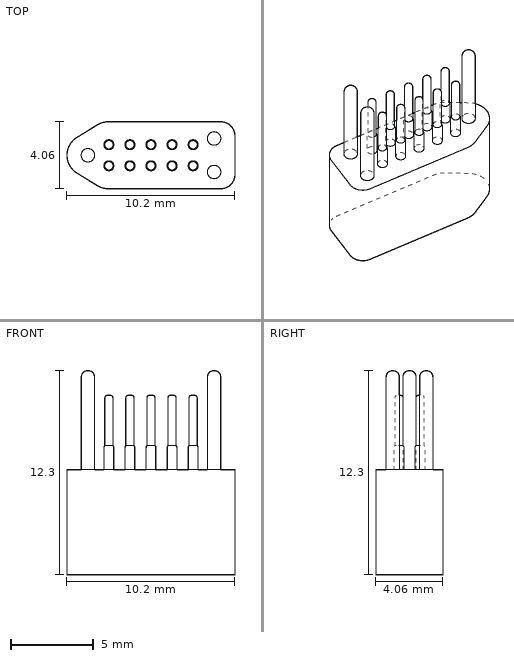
import cadquery as cq
import math

length = 10.15
width = 4.06
total_height = 12.34
housing_height = 6.35
corner_radius = 0.88
nose_radius = 1.27
shoulder_radius = 1.27
taper_angle = math.radians(31.5)

pitch = 1.27
pins_per_row = 5
pin_diameter = 0.5
collar_diameter = 0.6
pin_top = 10.86
collar_top = 7.86
pin_rounding = 0.19

post_diameter = 0.81
post_rounding = 0.4
post_inset = 1.27
post_spacing = 2.02

half_length = length / 2
half_width = width / 2


def make_housing():
    """Extrude the outline: nose arc, tapered flanks and shoulder arcs, rounded square end."""
    sine = math.sin(taper_angle)
    cosine = math.cos(taper_angle)
    nose_x = -half_length + nose_radius * (1 - sine)
    nose_y = nose_radius * cosine
    shoulder_y = half_width - shoulder_radius * (1 - cosine)
    shoulder_x = nose_x + (shoulder_y - nose_y) / math.tan(taper_angle)
    side_x = shoulder_x + shoulder_radius * sine

    middle_x = side_x - shoulder_radius * math.sin(taper_angle / 2)
    middle_y = half_width - shoulder_radius * (1 - math.cos(taper_angle / 2))

    return (
        cq.Workplane("XY")
        .moveTo(nose_x, -nose_y)
        .threePointArc((-half_length, 0), (nose_x, nose_y))
        .lineTo(shoulder_x, shoulder_y)
        .threePointArc((middle_x, middle_y), (side_x, half_width))
        .lineTo(half_length, half_width)
        .lineTo(half_length, -half_width)
        .lineTo(side_x, -half_width)
        .threePointArc((middle_x, -middle_y), (shoulder_x, -shoulder_y))
        .close()
        .extrude(housing_height)
        .edges("|Z and >X")
        .fillet(corner_radius)
    )


def round_pins(points, diameter, top, rounding):
    """Cylinders standing on the housing, with rounded tips."""
    return (
        cq.Workplane("XY", origin=(0, 0, housing_height))
        .pushPoints(points)
        .circle(diameter / 2)
        .extrude(top - housing_height)
        .faces(">Z")
        .edges()
        .fillet(rounding)
    )


contact_points = [
    ((column - (pins_per_row - 1) / 2) * pitch, side * pitch / 2)
    for column in range(pins_per_row)
    for side in (-1, 1)
]
post_x = half_length - post_inset
post_points = [
    (-post_x, 0),
    (post_x, post_spacing / 2),
    (post_x, -post_spacing / 2),
]

result = (
    make_housing()
    .union(round_pins(contact_points, collar_diameter, collar_top, pin_rounding))
    .union(round_pins(contact_points, pin_diameter, pin_top, pin_rounding))
    .union(round_pins(post_points, post_diameter, total_height, post_rounding))
)